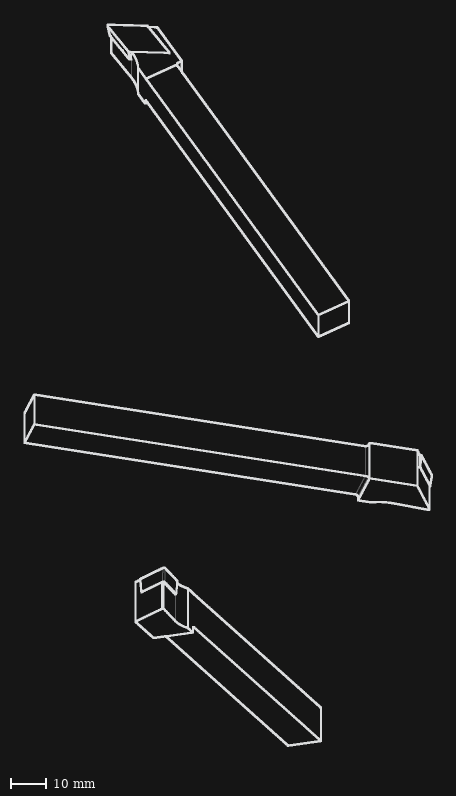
import cadquery as cq
import math

total_length = 120.0
head_size = 12.0
head_length = 21.7
shank_size = 10.1
shank_drop = 0.06
shoulder_radius = 0.7
shank_top = head_size - shank_drop
shank_bottom = shank_top - shank_size
fillet_end = head_length + shoulder_radius
top_step_x = fillet_end - math.sqrt(shoulder_radius**2 - (shoulder_radius - shank_drop)**2)

nose_angle = 55.0
tilt_angle = 3.0
lead_angle = nose_angle + tilt_angle
edge_length = 11.6
insert_thickness = 4.0
relief_angle = 5.0
nose_radius = 0.4

nose_facet_x = 1.1
nose_facet_y = 0.7
nose_flat_height = 0.42
lead_end_x = 7.7
scoop_start_x = 11.6
scoop_end_x = 17.8


def direction(angle):
    return cq.Vector(math.cos(math.radians(angle)), math.sin(math.radians(angle)))


def make_sharp_insert():
    """Tapered rhombus with sharp corners, placed so its rounded nose touches X = 0 and Y = 0."""
    nose_center = cq.Vector(nose_radius, nose_radius)
    corner_distance = nose_radius / math.sin(math.radians(nose_angle / 2))
    nose = nose_center - direction(tilt_angle + nose_angle / 2) * corner_distance
    front_edge = direction(tilt_angle) * edge_length
    lead_edge = direction(lead_angle) * edge_length
    corners = [nose, nose + front_edge, nose + front_edge + lead_edge, nose + lead_edge]
    return (
        cq.Workplane("XY", origin=(0, 0, head_size))
        .polyline([(corner.x, corner.y) for corner in corners])
        .close()
        .extrude(-insert_thickness, taper=relief_angle)
    )


def make_insert():
    """Cutting insert with both acute corners rounded."""
    sharp = make_sharp_insert()
    flank_edges = sharp.edges("not(#Z)")
    acute_corners = flank_edges.edges("<X").add(flank_edges.edges(">X"))
    return sharp.newObject(acute_corners.vals()).fillet(nose_radius)


def make_plan_body():
    """Holder outline seen along Z, raised to the full head height."""
    front_slope = math.tan(math.radians(tilt_angle))
    scoop_start_y = nose_facet_y + (scoop_start_x - nose_facet_x) * front_slope
    lead_start_y = nose_facet_y + nose_flat_height
    lead_start_x = lead_end_x - (head_size - lead_start_y) / math.tan(math.radians(lead_angle))
    return (
        cq.Workplane("XY")
        .moveTo(nose_facet_x, nose_facet_y)
        .lineTo(scoop_start_x, scoop_start_y)
        .tangentArcPoint((scoop_end_x, 0), relative=False)
        .lineTo(total_length, 0)
        .lineTo(total_length, shank_size)
        .lineTo(fillet_end, shank_size)
        .tangentArcPoint((head_length, shank_size + shoulder_radius), relative=False)
        .lineTo(head_length, head_size)
        .lineTo(lead_end_x, head_size)
        .lineTo(lead_start_x, lead_start_y)
        .close()
        .extrude(head_size)
    )


def make_side_body():
    """Holder outline seen along Y, spanning the full head width."""
    return (
        cq.Workplane("XZ")
        .moveTo(0, 0)
        .lineTo(head_length, 0)
        .lineTo(head_length, shank_bottom - shoulder_radius)
        .tangentArcPoint((fillet_end, shank_bottom), relative=False)
        .lineTo(total_length, shank_bottom)
        .lineTo(total_length, shank_top)
        .lineTo(fillet_end, shank_top)
        .tangentArcPoint((top_step_x, head_size), relative=False)
        .lineTo(0, head_size)
        .close()
        .extrude(-head_size)
    )


def make_holder():
    """Shank and head, with a sharp-cornered seat that matches the insert flanks."""
    return make_plan_body().intersect(make_side_body()).cut(make_sharp_insert())


holder = make_holder()
insert = make_insert()
result = cq.Compound.makeCompound([holder.solids().val(), insert.solids().val()])